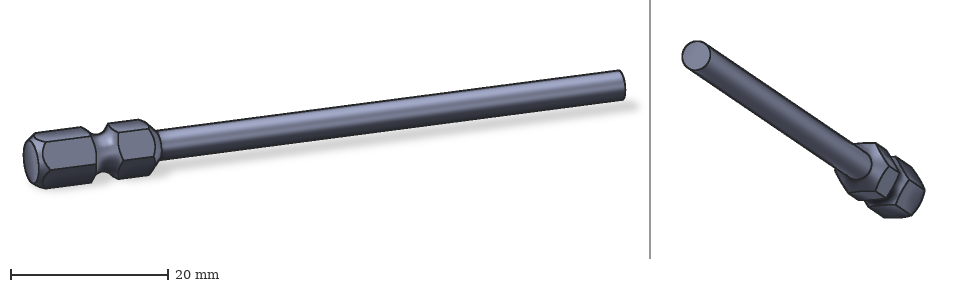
import cadquery as cq
import math

total_length = 80.0
hex_across_flats = 6.3
rod_diameter = 3.8
hex_length = 17.0

end_face_radius = 2.75
end_bevel_angle = 55.0

shoulder_angle = 45.0

groove_center = 9.3
groove_neck_radius = 2.4
groove_arc_radius = 2.0

rod_radius = rod_diameter / 2
hex_corner_radius = hex_across_flats / math.sqrt(3)
corner_clearance = 0.5
turning_radius = hex_corner_radius + corner_clearance


def bevel_length(start_radius, angle):
    """Axial length of a bevel that rises from start_radius to turning_radius."""
    return (turning_radius - start_radius) * math.tan(math.radians(angle))


def make_hex_prism():
    """Hexagon along +Y with flats facing up and down and corners on the X axis."""
    prism = cq.Workplane("XY").polygon(6, 2 * hex_corner_radius).extrude(hex_length)
    return prism.rotate((0, 0, 0), (1, 0, 0), -90)


def make_bevel_envelope():
    """Turned blank that trims the corners at both ends of the hexagon."""
    end_bevel = bevel_length(end_face_radius, end_bevel_angle)
    shoulder = bevel_length(rod_radius, shoulder_angle)
    return (
        cq.Workplane("XY")
        .moveTo(0, 0)
        .lineTo(end_face_radius, 0)
        .lineTo(turning_radius, end_bevel)
        .lineTo(turning_radius, hex_length - shoulder)
        .lineTo(rod_radius, hex_length)
        .lineTo(0, hex_length)
        .close()
        .revolve(360, (0, 0, 0), (0, 1, 0))
    )


def make_groove_cutter():
    """Ring of round section that cuts the groove down to its neck."""
    return (
        cq.Workplane("XY")
        .moveTo(groove_neck_radius + groove_arc_radius, groove_center)
        .circle(groove_arc_radius)
        .revolve(360, (0, 0, 0), (0, 1, 0))
    )


def make_rod():
    """Round rod from the shoulder to the far end."""
    rod_length = total_length - hex_length
    rod = cq.Workplane("XZ").circle(rod_radius).extrude(-rod_length)
    return rod.translate((0, hex_length, 0))


hex_drive = make_hex_prism().intersect(make_bevel_envelope()).cut(make_groove_cutter())
result = hex_drive.union(make_rod())